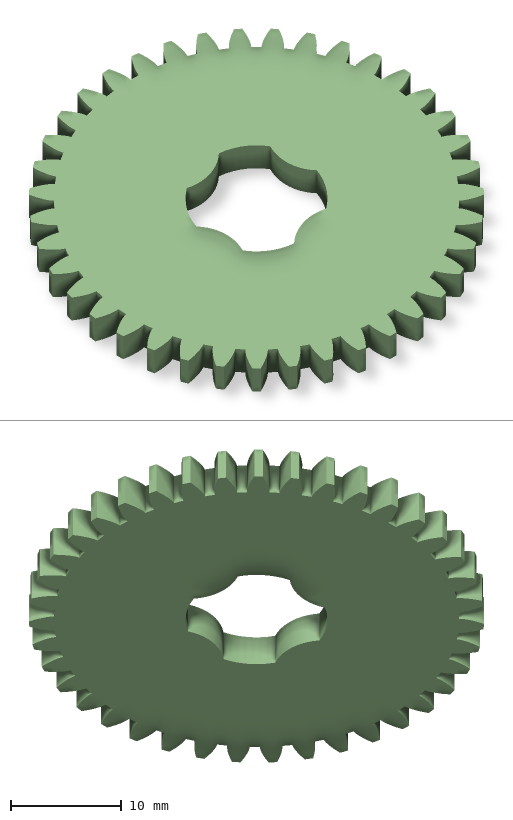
import cadquery as cq
import math

outer_radius = 20.5
thickness = 3.1
tooth_count = 39
pressure_angle = math.radians(20)
dedendum_factor = 1.25
flank_steps = 5

module = 2 * outer_radius / (tooth_count + 2)
pitch_radius = module * tooth_count / 2
base_radius = pitch_radius * math.cos(pressure_angle)
root_radius = pitch_radius - dedendum_factor * module
tooth_pitch = 2 * math.pi / tooth_count

bore_radius = 6.4
lobe_count = 4
lobe_tip_radius = 5.12
lobe_half_width = 2.55

lobe_half_angle = math.asin(lobe_half_width / bore_radius)
lobe_pitch = 2 * math.pi / lobe_count


def polar(radius, angle):
    return (radius * math.cos(angle), radius * math.sin(angle))


def involute(angle):
    return math.tan(angle) - angle


def half_tooth_angle(radius):
    """Angle from the tooth centreline to its involute flank at a radius."""
    local_pressure_angle = math.acos(base_radius / radius)
    return tooth_pitch / 4 + involute(pressure_angle) - involute(local_pressure_angle)


def flank_radii():
    """Radii along the involute, packed closer near the base circle where it curves most."""
    depth = outer_radius - base_radius
    return [base_radius + depth * (step / flank_steps) ** 2 for step in range(flank_steps + 1)]


def gear_outline():
    radii = flank_radii()
    root_half_angle = half_tooth_angle(base_radius)
    outline = cq.Workplane("XY").moveTo(*polar(root_radius, -root_half_angle))
    for tooth in range(tooth_count):
        centre = tooth * tooth_pitch
        rising = [polar(r, centre - half_tooth_angle(r)) for r in radii]
        falling = [polar(r, centre + half_tooth_angle(r)) for r in reversed(radii)]
        outline = outline.lineTo(*rising[0])
        outline = outline.spline(rising[1:], includeCurrent=True)
        outline = outline.threePointArc(polar(outer_radius, centre), falling[0])
        outline = outline.spline(falling[1:], includeCurrent=True)
        outline = outline.lineTo(*polar(root_radius, centre + root_half_angle))
        outline = outline.threePointArc(
            polar(root_radius, centre + tooth_pitch / 2),
            polar(root_radius, centre + tooth_pitch - root_half_angle),
        )
    return outline.close()


def bore_outline():
    outline = cq.Workplane("XY").moveTo(*polar(bore_radius, -lobe_half_angle))
    for lobe in range(lobe_count):
        centre = lobe * lobe_pitch
        outline = outline.threePointArc(
            polar(lobe_tip_radius, centre),
            polar(bore_radius, centre + lobe_half_angle),
        )
        outline = outline.threePointArc(
            polar(bore_radius, centre + lobe_pitch / 2),
            polar(bore_radius, centre + lobe_pitch - lobe_half_angle),
        )
    return outline.close()


gear = gear_outline().extrude(thickness)
result = gear.cut(bore_outline().extrude(thickness))